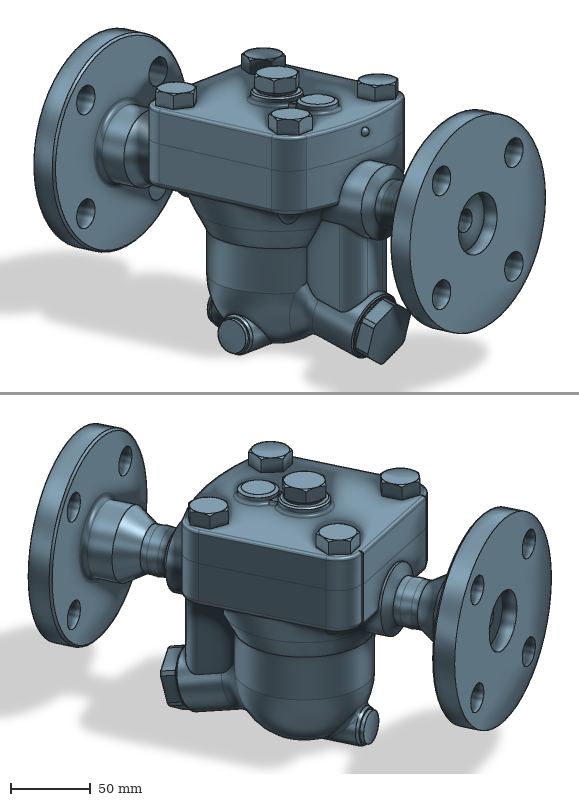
import cadquery as cq
import math


length = 296.0
inlet_face_x = -138.0
outlet_face_x = inlet_face_x + length

flange_r = 140.0 / 2
flange_thk = 16.0
flange_chamfer = 1.5
flange_hole_d = 19.0
flange_hole_offset = 37.3
socket_d = 40.0
socket_depth = 10.0
bore_d = 15.0
bore_depth = 71.0

hub_fillet = 3.5
hub_r = 25.2
hub_end = 36.7
reducer_end = 51.8
tube_r = 32.0 / 2
weld_r = 33.0 / 2
weld_start = 56.2
weld_end = 64.0
tube_end = 68.7
pipe_boss_r = 48.0 / 2
pipe_boss_start = 73.5

parting_z = 29.3
cover_top_z = 51.8
block_half_y = 62.5
block_left_x = -61.5
block_right_x = 68.7
left_corner_r = 16.5
right_corner_r = 18.5
right_corner_x = 43.5
cover_edge = 2.0
body_edge = 3.3
pad_x = -62.8
pad_half_y = 45.0

bolt_offset = 45.0
bolt_flats = 24.0
bolt_height = 10.0
bolt_clearance_r = 19.0 / 2
bolt_clearance_depth = 32.5
hex_chamfer_height = 1.2

collar_r = 33.0 / 2
collar_top_z = 57.7
collar_edge = 1.2
fitting_fillet = 2.5
plug_flats = 26.0
plug_neck_r = 12.5
plug_bottom_z = 59.2
plug_top_z = 69.3
small_boss_x = 32.0
small_boss_r = 26.0 / 2
small_boss_edge = 2.5
bridge_half_width = 7.0

pin_r = 3.0
pin_z = 43.5
pin_tip_x = 72.0

bowl_r = 44.0
bowl_center_z = -62.2
bowl_rim_z = -32.5
neck_step_z = -19.0
neck_step_r = 51.5
neck_top_r = 60.7

drain_z = -92.5
drain_boss_r = 26.0 / 2
drain_boss_end = 41.7
drain_step_r = 24.0 / 2
drain_step_end = 43.8
drain_plug_r = 22.0 / 2
drain_plug_end = 46.5
drain_fillet = 3.0

branch_angle = 15.0
branch_r = 44.0 / 2
branch_fillet = 17.8
branch_end = 80.0
branch_edge = 1.0
cap_collar_r = 40.0 / 2
cap_start = 81.0
cap_end = 91.5
cap_flats = 38.0
cap_round_r = 21.0

rib_half_y = 20.0
rib_end_x = 77.3
rib_corner_r = 12.5
rib_sink = 6.0


def hexagon(flats, height, corner_on_x):
    """Upright hexagonal prism on Z = 0."""
    turn = 0 if corner_on_x else 30
    prism = cq.Workplane("XY").polygon(6, flats / math.cos(math.pi / 6)).extrude(height)
    return prism.rotate((0, 0, 0), (0, 0, 1), turn)


def hex_head(flats, height, corner_on_x, both_ends=False):
    """Hexagonal head whose corners are turned off at the top, or at both ends."""
    flat_r = flats / 2
    corner_r = flat_r / math.cos(math.pi / 6)
    bottom_r = flat_r if both_ends else corner_r
    turned = (
        cq.Workplane("XZ")
        .moveTo(0, 0)
        .lineTo(bottom_r, 0)
        .lineTo(corner_r, hex_chamfer_height)
        .lineTo(corner_r, height - hex_chamfer_height)
        .lineTo(flat_r, height)
        .lineTo(0, height)
        .close()
        .revolve(360, (0, 0), (0, 1))
    )
    return hexagon(flats, height, corner_on_x).intersect(turned)


def pipe_end():
    """One flanged pipe end: flange face on X = 0, running along +X to mid-length."""
    solid = (
        cq.Workplane("XY")
        .moveTo(0, 0)
        .lineTo(0, flange_r)
        .lineTo(flange_thk - flange_chamfer, flange_r)
        .lineTo(flange_thk, flange_r - flange_chamfer)
        .lineTo(flange_thk, hub_r + hub_fillet)
        .radiusArc((flange_thk + hub_fillet, hub_r), -hub_fillet)
        .lineTo(hub_end, hub_r)
        .lineTo(reducer_end, tube_r)
        .lineTo(weld_start, tube_r)
        .threePointArc(((weld_start + weld_end) / 2, weld_r), (weld_end, tube_r))
        .lineTo(tube_end, tube_r)
        .lineTo(pipe_boss_start, pipe_boss_r)
        .lineTo(length / 2, pipe_boss_r)
        .lineTo(length / 2, 0)
        .close()
        .revolve(360, (0, 0), (1, 0))
    )
    holes = (
        cq.Workplane("YZ")
        .rect(2 * flange_hole_offset, 2 * flange_hole_offset, forConstruction=True)
        .vertices()
        .circle(flange_hole_d / 2)
        .extrude(flange_thk)
    )
    socket = cq.Workplane("YZ").circle(socket_d / 2).extrude(socket_depth)
    bore = cq.Workplane("YZ").circle(bore_d / 2).extrude(bore_depth)
    return solid.cut(holes), socket.union(bore)


def block_outline(z):
    """Outline shared by cover and body: round corners and a bowed right side."""
    left_y = block_half_y - left_corner_r
    right_y = block_half_y - right_corner_r
    gap = block_right_x - right_corner_x
    bow_r = (gap**2 + right_y**2 - right_corner_r**2) / (2 * (gap - right_corner_r))
    tangent = math.asin(right_y / (bow_r - right_corner_r))
    joint_x = right_corner_x + right_corner_r * math.cos(tangent)
    joint_y = right_y + right_corner_r * math.sin(tangent)
    return (
        cq.Workplane("XY", origin=(0, 0, z))
        .moveTo(block_left_x, -left_y)
        .lineTo(block_left_x, left_y)
        .radiusArc((block_left_x + left_corner_r, block_half_y), left_corner_r)
        .lineTo(right_corner_x, block_half_y)
        .radiusArc((joint_x, joint_y), right_corner_r)
        .threePointArc((block_right_x, 0), (joint_x, -joint_y))
        .radiusArc((right_corner_x, -block_half_y), right_corner_r)
        .lineTo(block_left_x + left_corner_r, -block_half_y)
        .radiusArc((block_left_x, -left_y), left_corner_r)
        .close()
    )


def inlet_pad(bottom_z, top_z):
    """Raised pad along the inlet side of the cover or of the body block."""
    pad_depth = 2 * left_corner_r
    return (
        cq.Workplane("XY", origin=(pad_x + pad_depth / 2, 0, bottom_z))
        .rect(pad_depth, 2 * pad_half_y)
        .extrude(top_z - bottom_z)
    )


def cover_block():
    """Cover resting on the body block; the joint between them stays as a seam."""
    cover = block_outline(parting_z).extrude(cover_top_z - parting_z)
    cover = cover.faces(">Z").edges().fillet(cover_edge)
    cover_pad = inlet_pad(parting_z, cover_top_z).edges("<X and >Z").fillet(cover_edge)

    body = block_outline(0).extrude(parting_z)
    body = body.faces("<Z").edges().fillet(body_edge)
    body_pad = inlet_pad(0, parting_z).edges("<X and <Z").fillet(body_edge)

    return cover.union(cover_pad).union(body.union(body_pad), clean=False)


def cover_boss(radius, edge):
    """Round boss on the cover with a flared foot and a bevelled top edge."""
    return (
        cq.Workplane("XZ", origin=(0, 0, cover_top_z))
        .moveTo(0, 0)
        .lineTo(radius + fitting_fillet, 0)
        .radiusArc((radius, fitting_fillet), fitting_fillet)
        .lineTo(radius, collar_top_z - cover_top_z - collar_edge)
        .lineTo(radius - edge, collar_top_z - cover_top_z)
        .lineTo(0, collar_top_z - cover_top_z)
        .close()
        .revolve(360, (0, 0), (0, 1))
    )


def cover_fittings():
    """Four bolt heads, the central plug and the small boss bridged to it."""
    fittings = cover_boss(collar_r, collar_edge)
    neck = cq.Workplane("XY", origin=(0, 0, cover_top_z)).circle(plug_neck_r)
    fittings = fittings.union(neck.extrude(plug_top_z - cover_top_z - hex_chamfer_height))
    plug = hex_head(plug_flats, plug_top_z - plug_bottom_z, True, both_ends=True)
    fittings = fittings.union(plug.translate((0, 0, plug_bottom_z)))

    small_boss = cover_boss(small_boss_r, small_boss_edge)
    fittings = fittings.union(small_boss.translate((small_boss_x, 0, 0)))
    foot = bridge_half_width + fitting_fillet
    bridge = (
        cq.Workplane("YZ", origin=(0, 0, cover_top_z))
        .moveTo(-foot, 0)
        .radiusArc((-bridge_half_width, fitting_fillet), -fitting_fillet)
        .lineTo(bridge_half_width, fitting_fillet)
        .radiusArc((foot, 0), -fitting_fillet)
        .close()
        .extrude(small_boss_x)
    )
    fittings = fittings.union(bridge)

    for side_x in (-1, 1):
        for side_y in (-1, 1):
            corner_on_x = side_x == side_y
            head = hex_head(bolt_flats, bolt_height, corner_on_x)
            place = (side_x * bolt_offset, side_y * bolt_offset, cover_top_z)
            fittings = fittings.union(head.translate(place))
    return fittings


def name_plate_pin():
    """Round-ended pin standing out of the bowed side of the cover."""
    shank = cq.Workplane("YZ").circle(pin_r).extrude(pin_tip_x - pin_r)
    tip = cq.Workplane("XY").sphere(pin_r).translate((pin_tip_x - pin_r, 0, 0))
    return shank.union(tip).translate((0, 0, pin_z))


def bowl():
    """Hemispherical bowl below a two-slope conical neck, relieved under the bolts."""
    solid = (
        cq.Workplane("XZ")
        .moveTo(0, body_edge)
        .lineTo(neck_top_r, body_edge)
        .lineTo(neck_top_r, 0)
        .lineTo(neck_step_r, neck_step_z)
        .lineTo(bowl_r, bowl_rim_z)
        .lineTo(bowl_r, bowl_center_z)
        .radiusArc((0, bowl_center_z - bowl_r), bowl_r)
        .close()
        .revolve(360, (0, 0), (0, 1))
    )
    reliefs = (
        cq.Workplane("XY")
        .rect(2 * bolt_offset, 2 * bolt_offset, forConstruction=True)
        .vertices()
        .circle(bolt_clearance_r)
        .extrude(-bolt_clearance_depth)
    )
    return solid.cut(reliefs)


def drain():
    """Stepped drain boss and plug pointing along +X from the bowl axis."""
    return (
        cq.Workplane("XY")
        .moveTo(0, 0)
        .lineTo(0, drain_boss_r)
        .lineTo(drain_boss_end, drain_boss_r)
        .lineTo(drain_step_end, drain_step_r)
        .lineTo(drain_step_end, drain_plug_r)
        .lineTo(drain_plug_end, drain_plug_r)
        .lineTo(drain_plug_end, 0)
        .close()
        .revolve(360, (0, 0), (1, 0))
        .translate((0, 0, drain_z))
    )


def branch():
    """Strainer branch flared into the bowl, closed by a hexagonal cap."""
    flare_r = branch_r + branch_fillet
    flare_end = math.sqrt((bowl_r + branch_fillet) ** 2 - flare_r**2)
    on_bowl = bowl_r / (bowl_r + branch_fillet)
    tube = (
        cq.Workplane("XY")
        .moveTo(0, 0)
        .lineTo(flare_end * on_bowl, flare_r * on_bowl)
        .radiusArc((flare_end, branch_r), -branch_fillet)
        .lineTo(branch_end - branch_edge, branch_r)
        .lineTo(branch_end, branch_r - branch_edge)
        .lineTo(branch_end, cap_collar_r)
        .lineTo(cap_start, cap_collar_r)
        .lineTo(cap_start, 0)
        .close()
        .revolve(360, (0, 0), (1, 0))
    )
    cap = hexagon(cap_flats, cap_end - cap_start, True)
    cap = cap.intersect(cq.Workplane("XY").circle(cap_round_r).extrude(cap_end - cap_start))
    cap = cap.rotate((0, 0, 0), (0, 1, 0), 90).translate((cap_start, 0, 0))
    tilted = tube.union(cap).rotate((0, 0, 0), (0, 1, 0), branch_angle)
    return tilted.translate((0, 0, bowl_center_z))


def rib():
    """Flat-sided rib from the outlet pipe down into the branch."""
    bottom_z = bowl_center_z + rib_sink
    drop = rib_end_x * math.tan(math.radians(branch_angle))
    plate = (
        cq.Workplane("XZ", origin=(0, rib_half_y, 0))
        .moveTo(0, 0)
        .lineTo(rib_end_x, 0)
        .lineTo(rib_end_x, bottom_z - drop)
        .lineTo(0, bottom_z)
        .close()
        .extrude(2 * rib_half_y)
    )
    return plate.edges(">X and |Z").fillet(rib_corner_r)


end_solid, end_bore = pipe_end()
inlet = end_solid.translate((inlet_face_x, 0, 0))
outlet = end_solid.mirror("YZ").translate((outlet_face_x, 0, 0))

inlet_drain = drain().rotate((0, 0, 0), (0, 0, 1), 180)
front_drain = drain().rotate((0, 0, 0), (0, 0, 1), 270)

result = bowl().union(inlet_drain)
drain_region = cq.selectors.BoxSelector(
    (-drain_boss_end, -bowl_r, bowl_center_z - bowl_r),
    (0, bowl_r, bowl_center_z),
)
result = result.edges(drain_region).edges("%BSPLINE").fillet(drain_fillet)
result = result.union(front_drain).union(branch()).union(rib())
result = result.union(inlet).union(outlet)
for part in (cover_block(), cover_fittings(), name_plate_pin()):
    result = result.union(part, clean=False)
for bore in (
    end_bore.translate((inlet_face_x, 0, 0)),
    end_bore.mirror("YZ").translate((outlet_face_x, 0, 0)),
):
    result = result.cut(bore, clean=False)